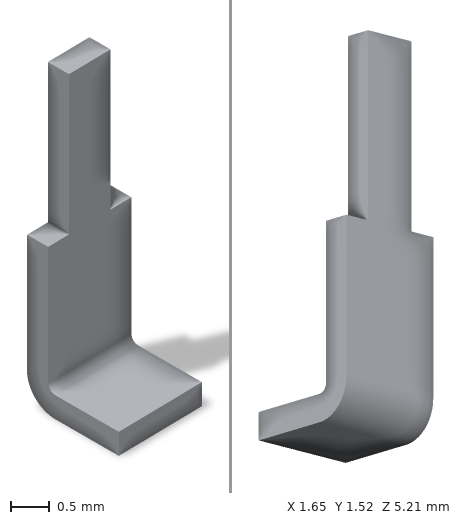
import cadquery as cq

thickness = 0.381
foot_length = 1.651
body_width = 1.524
total_height = 5.207
pin_width = body_width / 2
pin_height = 2.54
inner_bend_radius = 0.127

outer_bend_radius = inner_bend_radius + thickness
shoulder_height = total_height - pin_height
shoulder_width = (body_width - pin_width) / 2


def bent_strip():
    """Full-width L-shaped strip with concentric bend radii."""
    leg = cq.Workplane("XY").box(thickness, body_width, total_height, centered=(False, True, False))
    foot = cq.Workplane("XY").box(foot_length, body_width, thickness, centered=(False, True, False))
    strip = leg.union(foot)
    inner_corner = cq.selectors.NearestToPointSelector((thickness, 0, thickness))
    strip = strip.edges("|Y").edges(inner_corner).fillet(inner_bend_radius)
    outer_corner = cq.selectors.NearestToPointSelector((0, 0, 0))
    return strip.edges("|Y").edges(outer_corner).fillet(outer_bend_radius)


def shoulder_cut(side):
    """Material removed beside the pin; side is +1 or -1 along Y."""
    center_y = side * (pin_width + shoulder_width) / 2
    return (
        cq.Workplane("XY")
        .box(thickness, shoulder_width, pin_height, centered=(False, True, False))
        .translate((0, center_y, shoulder_height))
    )


result = bent_strip()
for side in (-1, 1):
    result = result.cut(shoulder_cut(side))